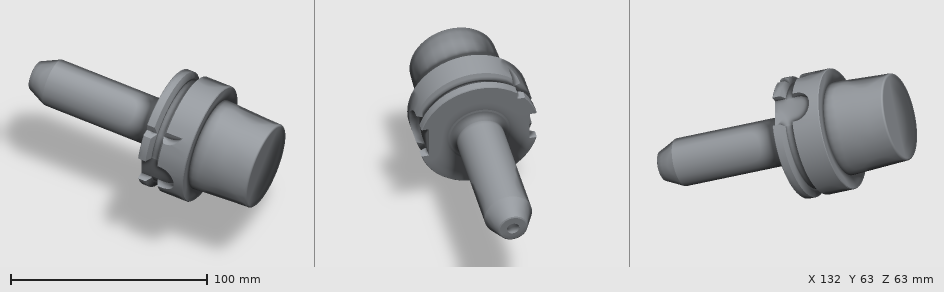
import cadquery as cq
import math

total_length = 132.0
taper_length = 32.0
flange_length = 26.0
shoulder_x = total_length - taper_length
flange_x = shoulder_x - flange_length

nose_radius = 7.7
nose_chamfer_x = 0.4
nose_face_radius = 7.0
nose_length = 10.5
shank_radius = 25.0 / 2
neck_radius = 24.8 / 2
neck_x = 70.0
neck_step_length = 0.8
root_ring_radius = 16.5
root_ring_height = 0.3
root_fillet = flange_x - root_ring_height - neck_x - neck_step_length

flange_radius = 63.0 / 2
edge_chamfer = 0.4
groove_floor_radius = 27.5
groove_cone_radius = 28.4
front_rim_length = 4.4
groove_cone_length = 1.7
groove_floor_width = 3.4
groove_start_x = flange_x + front_rim_length
groove_floor_x = groove_start_x + groove_cone_length
groove_floor_end_x = groove_floor_x + groove_floor_width
groove_end_x = groove_floor_end_x + groove_cone_length

taper_start_radius = 24.3
taper_end_radius = 22.7
end_rounding = 1.0

bore_radius = 6.5 / 2
bore_depth = 19.8
inner_bore_radius = 6.0 / 2
inner_bore_depth = 39.6

slot_end_x = 95.0
front_slot_width = 16.4
front_slot_floor = 26.4
back_slot_width = 18.0
back_slot_floor = 26.3
back_slot_corner = 7.9
notch_offset = 20.0
notch_straight_end_x = 86.7
notch_runout_radius = 8.8


def turned_body():
    """Revolve the half profile about the X axis."""
    fillet_start_x = neck_x + neck_step_length
    ring_x = flange_x - root_ring_height
    arc_shift = root_fillet * math.sqrt(0.5)
    fillet_mid = (fillet_start_x + arc_shift, neck_radius + root_fillet - arc_shift)
    round_shift = end_rounding * math.sqrt(0.5)
    round_mid = (
        total_length - end_rounding + round_shift,
        taper_end_radius - end_rounding + round_shift,
    )
    profile = (
        cq.Workplane("XY")
        .moveTo(0, 0)
        .lineTo(0, nose_face_radius)
        .lineTo(nose_chamfer_x, nose_radius)
        .lineTo(nose_length, shank_radius)
        .lineTo(neck_x, shank_radius)
        .lineTo(fillet_start_x, neck_radius)
        .threePointArc(fillet_mid, (ring_x, neck_radius + root_fillet))
        .lineTo(flange_x, root_ring_radius)
        .lineTo(flange_x, flange_radius - edge_chamfer)
        .lineTo(flange_x + edge_chamfer, flange_radius)
        .lineTo(groove_start_x, flange_radius)
        .lineTo(groove_floor_x, groove_cone_radius)
        .lineTo(groove_floor_x, groove_floor_radius)
        .lineTo(groove_floor_end_x, groove_floor_radius)
        .lineTo(groove_floor_end_x, groove_cone_radius)
        .lineTo(groove_end_x, flange_radius)
        .lineTo(shoulder_x - edge_chamfer, flange_radius)
        .lineTo(shoulder_x, flange_radius - edge_chamfer)
        .lineTo(shoulder_x, taper_start_radius)
        .lineTo(total_length - end_rounding, taper_end_radius)
        .threePointArc(round_mid, (total_length, taper_end_radius - end_rounding))
        .lineTo(total_length, 0)
        .close()
    )
    return profile.revolve(360, (0, 0, 0), (1, 0, 0))


def nose_bore():
    """Blind bore that narrows part way in."""
    outer = cq.Workplane("YZ").circle(bore_radius).extrude(bore_depth)
    inner = cq.Workplane("YZ").circle(inner_bore_radius).extrude(inner_bore_depth)
    return outer.union(inner)


def front_slot():
    """Flat-floored slot on the -Y side with a fully round end."""
    round_start_x = flange_x - front_slot_width / 2
    length = slot_end_x - round_start_x
    return (
        cq.Workplane("XZ", origin=(0, -front_slot_floor, 0))
        .center(round_start_x + length / 2, 0)
        .slot2D(length, front_slot_width)
        .extrude(flange_radius - front_slot_floor)
    )


def back_slot():
    """Flat-floored slot on the +Y side with two rounded end corners."""
    length = slot_end_x - flange_x
    depth = flange_radius - back_slot_floor
    return (
        cq.Workplane("XY")
        .box(length, depth, back_slot_width)
        .edges("|Y and >X")
        .fillet(back_slot_corner)
        .translate((flange_x + length / 2, back_slot_floor + depth / 2, 0))
    )


def corner_notch():
    """Square notch at the -Y +Z rim whose floor curves up and out."""
    runout_end_x = notch_straight_end_x + notch_runout_radius
    runout_top = notch_offset + notch_runout_radius
    arc_shift = notch_runout_radius * math.sqrt(0.5)
    runout_mid = (notch_straight_end_x + arc_shift, runout_top - arc_shift)
    return (
        cq.Workplane("XZ", origin=(0, -notch_offset, 0))
        .moveTo(flange_x, notch_offset)
        .lineTo(notch_straight_end_x, notch_offset)
        .threePointArc(runout_mid, (runout_end_x, runout_top))
        .lineTo(runout_end_x, flange_radius)
        .lineTo(flange_x, flange_radius)
        .close()
        .extrude(flange_radius - notch_offset)
    )


result = (
    turned_body()
    .cut(nose_bore())
    .cut(front_slot())
    .cut(back_slot())
    .cut(corner_notch())
)